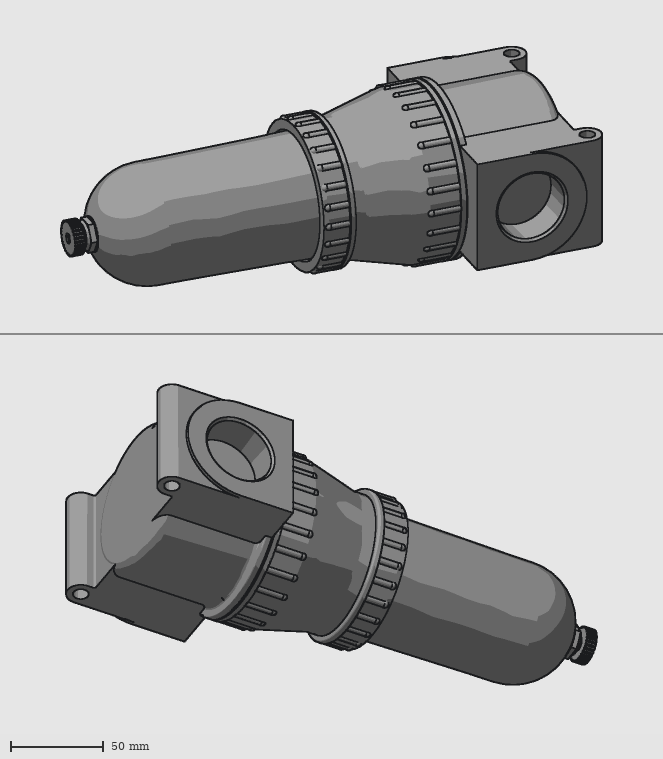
import cadquery as cq
import math


BLOCK_HALF = 32.0
PORT_FACE_X = 62.5
SIDE_RELIEF = 2.0
BODY_HALF_X = PORT_FACE_X - SIDE_RELIEF
PORT_DIAMETER = 38.95
PORT_MOUTH_DIAMETER = 41.9
PORT_DEPTH = 20.0

EAR_RADIUS = 8.0
EAR_HOLE_DIAMETER = 8.5
EAR_X = BODY_HALF_X - EAR_RADIUS
EAR_Y = 36.5
EAR_ROOT_FILLET = 1.0

BARREL_RADIUS = 43.8
BARREL_END_Y = 32.35
BARREL_END_FILLET = 7.7
FLANGE_RADIUS = 50.0
FLANGE_TOP_Y = -28.0
FLANGE_EDGE_FILLET = 0.8
FLANGE_ROOT_FILLET = 2.5
JOINT_Y = -BLOCK_HALF

GRIP_RIB_COUNT = 24
GRIP_RIB_RADIUS = 2.0
GRIP_BALL_RADIUS = 2.15
GRIP_LAND_DROP = 1.25

UPPER_RING_RADIUS = FLANGE_RADIUS
UPPER_RING_CHAMFER = 0.8
UPPER_COLLAR_END_Y = -36.0
UPPER_RIB_END_Y = -52.7
UPPER_LAND_END_Y = -53.5
CONE_END_Y = -86.0
CONE_END_RADIUS = 40.3
NECK_RADIUS = 40.0
NECK_START_Y = -87.5

LOWER_RING_RADIUS = 43.5
LOWER_RING_TOP_Y = -94.4
LOWER_RING_FILLET = 1.3
LOWER_COLLAR_END_Y = -98.0
LOWER_COLLAR_CHAMFER = 0.3
LOWER_RIB_END_Y = -110.0
LOWER_RING_END_Y = -113.0
LOWER_RING_END_RADIUS = 42.0
CLEARANCE_RADIUS = 72.58 / 2
CLEARANCE_DEPTH = 5.0

BOWL_TOP_RADIUS = 35.1
DOME_RADIUS = 33.9
DOME_CENTRE_Y = -199.0

KNURL_RADIUS = 10.0
KNURL_COUNT = 30
KNURL_DEPTH = 0.7
KNURL_HALF_WIDTH = 0.5
DRAIN_DISC_TOP_Y = -229.0
DRAIN_DISC_END_Y = -231.8
HEX_FLATS = 17.0
HEX_END_Y = -235.3
TIP_RADIUS = 7.0
TIP_END_Y = -237.0
STEM_RADIUS = 4.0
KNOB_TOP_Y = -239.0
KNOB_END_Y = -245.0
DRAIN_HOLE_DIAMETER = 4.0
DRAIN_HOLE_DEPTH = 1.0
DRAIN_HOLE_CHAMFER = 0.8


def cylinder_along_y(radius, start_y, end_y):
    """Cylinder on the Y axis running from start_y down to end_y."""
    return cq.Workplane("XZ", origin=(0, start_y, 0)).circle(radius).extrude(start_y - end_y)


def block():
    """Port block with its sides stepped back behind the round port pads."""
    side = 2 * BLOCK_HALF
    core = cq.Workplane("XY").box(2 * BODY_HALF_X, side, side)
    pads = cq.Workplane("YZ", origin=(-PORT_FACE_X, 0, 0)).circle(BLOCK_HALF).extrude(2 * PORT_FACE_X)
    front_half = cq.Workplane("XY").box(2 * PORT_FACE_X, BLOCK_HALF, side)
    return core.union(pads).union(front_half.translate((0, -BLOCK_HALF / 2, 0)))


def ear(side):
    """Rounded mounting ear at the back of the block, with small fillets at its inner root."""
    outer_x = side * BODY_HALF_X
    inner_x = side * (EAR_X - EAR_RADIUS)
    root_x = inner_x - side * EAR_ROOT_FILLET
    fillet_mid = EAR_ROOT_FILLET * (1 - math.sqrt(0.5))
    outline = (
        cq.Workplane("XY", origin=(0, 0, -BLOCK_HALF))
        .moveTo(outer_x, 0)
        .lineTo(outer_x, EAR_Y)
        .threePointArc((side * EAR_X, EAR_Y + EAR_RADIUS), (inner_x, EAR_Y))
        .lineTo(inner_x, BLOCK_HALF + EAR_ROOT_FILLET)
        .threePointArc((inner_x - side * fillet_mid, BLOCK_HALF + fillet_mid), (root_x, BLOCK_HALF))
        .lineTo(root_x, 0)
        .close()
    )
    return outline.extrude(2 * BLOCK_HALF)


def ear_hole(side):
    centre = (side * EAR_X, EAR_Y, -BLOCK_HALF)
    return cq.Workplane("XY", origin=centre).circle(EAR_HOLE_DIAMETER / 2).extrude(2 * BLOCK_HALF)


def port(side):
    """Blind port with a 45 degree lead-in at its mouth."""
    bore_radius = PORT_DIAMETER / 2
    mouth_radius = PORT_MOUTH_DIAMETER / 2
    floor_x = PORT_FACE_X - PORT_DEPTH
    lead_in_x = PORT_FACE_X - (mouth_radius - bore_radius)
    profile = (
        cq.Workplane("XY")
        .moveTo(side * floor_x, 0)
        .lineTo(side * floor_x, bore_radius)
        .lineTo(side * lead_in_x, bore_radius)
        .lineTo(side * PORT_FACE_X, mouth_radius)
        .lineTo(side * PORT_FACE_X, 0)
        .close()
    )
    return profile.revolve(360, (0, 0, 0), (1, 0, 0))


def barrel():
    """Round barrel of the head, rounded at the back and flanged at the joint."""
    body = cylinder_along_y(BARREL_RADIUS, BARREL_END_Y, JOINT_Y)
    body = body.faces(">Y").edges().fillet(BARREL_END_FILLET)
    flange = cylinder_along_y(FLANGE_RADIUS, FLANGE_TOP_Y, JOINT_Y)
    flange = flange.faces(">Y").edges().fillet(FLANGE_EDGE_FILLET)
    body = body.union(flange)
    root = cq.selectors.RadiusNthSelector(0)
    flange_face = cq.selectors.NearestToPointSelector((0, FLANGE_TOP_Y, (BARREL_RADIUS + FLANGE_RADIUS) / 2))
    return body.faces(flange_face).edges(root).fillet(FLANGE_ROOT_FILLET)


def make_head():
    head = block().union(barrel())
    for side in (-1, 1):
        head = head.union(ear(side)).cut(ear_hole(side)).cut(port(side))
    return head


def shell_of_revolution():
    """Rings, cone, neck and domed bowl as one turned profile."""
    upper_land = UPPER_RING_RADIUS - GRIP_LAND_DROP
    lower_land = LOWER_RING_RADIUS - GRIP_LAND_DROP
    ring_shoulder = LOWER_RING_RADIUS - LOWER_RING_FILLET
    fillet_mid = LOWER_RING_FILLET * (1 - math.sqrt(0.5))
    dome_diagonal = DOME_RADIUS * math.sqrt(0.5)
    gap_top_y = LOWER_RING_END_Y + CLEARANCE_DEPTH
    profile = (
        cq.Workplane("XY")
        .moveTo(0, JOINT_Y)
        .lineTo(UPPER_RING_RADIUS - UPPER_RING_CHAMFER, JOINT_Y)
        .lineTo(UPPER_RING_RADIUS, JOINT_Y - UPPER_RING_CHAMFER)
        .lineTo(UPPER_RING_RADIUS, UPPER_COLLAR_END_Y)
        .lineTo(upper_land, UPPER_COLLAR_END_Y)
        .lineTo(upper_land, UPPER_LAND_END_Y)
        .lineTo(CONE_END_RADIUS, CONE_END_Y)
        .tangentArcPoint((NECK_RADIUS, NECK_START_Y), relative=False)
        .lineTo(NECK_RADIUS, LOWER_RING_TOP_Y)
        .lineTo(ring_shoulder, LOWER_RING_TOP_Y)
        .threePointArc(
            (LOWER_RING_RADIUS - fillet_mid, LOWER_RING_TOP_Y - fillet_mid),
            (LOWER_RING_RADIUS, LOWER_RING_TOP_Y - LOWER_RING_FILLET),
        )
        .lineTo(LOWER_RING_RADIUS, LOWER_COLLAR_END_Y + LOWER_COLLAR_CHAMFER)
        .lineTo(LOWER_RING_RADIUS - LOWER_COLLAR_CHAMFER, LOWER_COLLAR_END_Y)
        .lineTo(lower_land, LOWER_COLLAR_END_Y)
        .lineTo(lower_land, LOWER_RIB_END_Y)
        .lineTo(LOWER_RING_END_RADIUS, LOWER_RING_END_Y)
        .lineTo(CLEARANCE_RADIUS, LOWER_RING_END_Y)
        .lineTo(CLEARANCE_RADIUS, gap_top_y)
        .lineTo(BOWL_TOP_RADIUS, gap_top_y)
        .lineTo(BOWL_TOP_RADIUS, LOWER_RING_END_Y)
        .lineTo(DOME_RADIUS, DOME_CENTRE_Y)
        .threePointArc(
            (dome_diagonal, DOME_CENTRE_Y - dome_diagonal),
            (0, DOME_CENTRE_Y - DOME_RADIUS),
        )
        .close()
    )
    return profile.revolve(360, (0, 0, 0), (0, 1, 0))


def grip_ribs(crest_radius, start_y, end_y):
    """Ring of partly sunk round ribs along Y, each with a ball end."""
    axis_radius = crest_radius - GRIP_BALL_RADIUS
    rib = cylinder_along_y(GRIP_RIB_RADIUS, start_y, end_y)
    rib = rib.union(cq.Workplane("XY").sphere(GRIP_BALL_RADIUS).translate((0, end_y, 0)))
    rib = rib.translate((0, 0, axis_radius))
    pitch = 360 / GRIP_RIB_COUNT
    return [rib.rotate((0, 0, 0), (0, 1, 0), i * pitch) for i in range(GRIP_RIB_COUNT)]


def knurled_disc(start_y, end_y):
    """Disc on the Y axis with V grooves around its rim."""
    disc = cylinder_along_y(KNURL_RADIUS, start_y, end_y)
    pitch = 360 / KNURL_COUNT
    groove = (
        cq.Workplane("XZ", origin=(0, start_y, 0))
        .moveTo(0, KNURL_RADIUS - KNURL_DEPTH)
        .lineTo(2 * KNURL_HALF_WIDTH, KNURL_RADIUS + KNURL_DEPTH)
        .lineTo(-2 * KNURL_HALF_WIDTH, KNURL_RADIUS + KNURL_DEPTH)
        .close()
        .extrude(start_y - end_y)
    )
    for i in range(KNURL_COUNT):
        disc = disc.cut(groove.rotate((0, 0, 0), (0, 1, 0), (i + 0.5) * pitch))
    return disc


def drain_hex():
    """Hexagon with corners toward +X and -X, with a cone tapering from its flats to a round tip."""
    height = DRAIN_DISC_TOP_Y - HEX_END_Y
    corner_diameter = 2 * HEX_FLATS / math.sqrt(3)
    prism = cq.Workplane("XZ", origin=(0, DRAIN_DISC_TOP_Y, 0)).polygon(6, corner_diameter).extrude(height)
    tip = (
        cq.Workplane("XY")
        .moveTo(0, HEX_END_Y)
        .lineTo(HEX_FLATS / 2, HEX_END_Y)
        .lineTo(TIP_RADIUS, TIP_END_Y)
        .lineTo(0, TIP_END_Y)
        .close()
        .revolve(360, (0, 0, 0), (0, 1, 0))
    )
    return prism.union(tip)


def drain_hole():
    """Blind hole with a chamfered mouth in the end of the knob."""
    floor_y = KNOB_END_Y + DRAIN_HOLE_DEPTH
    bore = cylinder_along_y(DRAIN_HOLE_DIAMETER / 2, floor_y, KNOB_END_Y)
    return bore.union(
        cq.Workplane("XY")
        .moveTo(0, KNOB_END_Y)
        .lineTo(DRAIN_HOLE_DIAMETER / 2 + DRAIN_HOLE_CHAMFER, KNOB_END_Y)
        .lineTo(DRAIN_HOLE_DIAMETER / 2, KNOB_END_Y + DRAIN_HOLE_CHAMFER)
        .lineTo(0, KNOB_END_Y + DRAIN_HOLE_CHAMFER)
        .close()
        .revolve(360, (0, 0, 0), (0, 1, 0))
    )


def make_bowl_unit():
    unit = shell_of_revolution()
    unit = unit.union(knurled_disc(DRAIN_DISC_TOP_Y, DRAIN_DISC_END_Y))
    unit = unit.union(drain_hex())
    unit = unit.union(cylinder_along_y(STEM_RADIUS, TIP_END_Y, KNOB_TOP_Y))
    unit = unit.union(knurled_disc(KNOB_TOP_Y, KNOB_END_Y).cut(drain_hole()))
    ribs = grip_ribs(UPPER_RING_RADIUS, UPPER_COLLAR_END_Y, UPPER_RIB_END_Y)
    ribs += grip_ribs(LOWER_RING_RADIUS, LOWER_COLLAR_END_Y, LOWER_RIB_END_Y)
    for rib in ribs:
        unit = unit.union(rib)
    return unit


head = make_head()
bowl_unit = make_bowl_unit()

result = cq.Compound.makeCompound([head.val(), bowl_unit.val()])